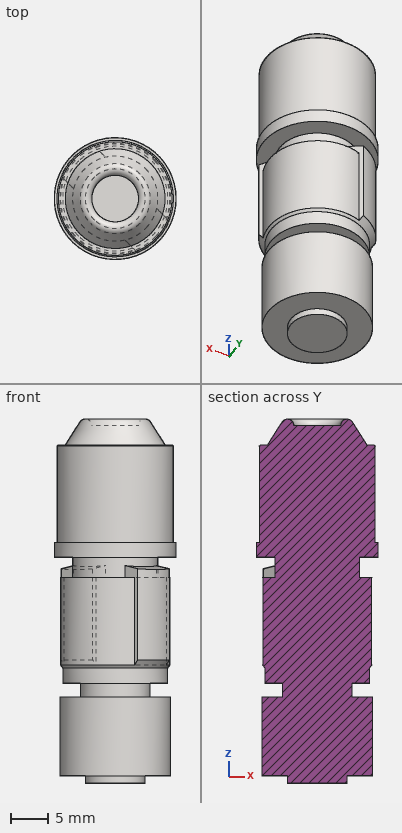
import cadquery as cq
import math

tip_top = 0.95
nut_top = 11.55
lower_neck_top = 13.35
collar_top = 15.4
sleeve_top = 27.5
upper_neck_top = 30.2
flange_top = 32.2
barrel_top = 45.25
total_height = 48.7

tip_radius = 4.0
nut_radius = 7.4
lower_neck_radius = 4.65
collar_radius = 7.0
sleeve_radius = 7.3
key_radius = 7.85
upper_neck_radius = 5.7
flange_radius = 16.3 / 2
barrel_radius = 7.8

bevel_slope = 1.35
key_ridge_height = 29.95
key_top_tilt = 10.0
key_width = 6.0
key_angle = -45.0

rim_bevel = 0.2
nose_angle = 32.4
lip_tube_radius = 0.9
dish_radius = 3.1


def bevel_height(radius):
    """Height of the common lower bevel cone at a given radius."""
    return collar_top + bevel_slope * (radius - collar_radius)


def make_core():
    """Turned body, revolved from its half profile in the XZ plane."""
    slant = math.radians(nose_angle)
    lip_radius = dish_radius + lip_tube_radius
    dish_floor = total_height - lip_tube_radius
    shoulder_radius = lip_radius + lip_tube_radius * math.cos(slant)
    shoulder_height = dish_floor + lip_tube_radius * math.sin(slant)
    nose_base_radius = shoulder_radius + (shoulder_height - barrel_top) * math.tan(slant)
    return (
        cq.Workplane("XZ")
        .lineTo(tip_radius, 0)
        .lineTo(tip_radius, tip_top)
        .lineTo(nut_radius, tip_top)
        .lineTo(nut_radius, nut_top)
        .lineTo(lower_neck_radius, nut_top)
        .lineTo(lower_neck_radius, lower_neck_top)
        .lineTo(collar_radius, lower_neck_top)
        .lineTo(collar_radius, collar_top)
        .lineTo(sleeve_radius, bevel_height(sleeve_radius))
        .lineTo(sleeve_radius, sleeve_top)
        .lineTo(upper_neck_radius, sleeve_top)
        .lineTo(upper_neck_radius, upper_neck_top)
        .lineTo(flange_radius, upper_neck_top)
        .lineTo(flange_radius, flange_top)
        .lineTo(barrel_radius, flange_top)
        .lineTo(barrel_radius, barrel_top - rim_bevel)
        .lineTo(barrel_radius - rim_bevel, barrel_top)
        .lineTo(nose_base_radius, barrel_top)
        .lineTo(shoulder_radius, shoulder_height)
        .threePointArc((lip_radius, total_height), (dish_radius, dish_floor))
        .lineTo(0, dish_floor)
        .close()
        .revolve(360, (0, 0), (0, 1))
    )


def make_keys():
    """Two opposite raised keys with parallel sides and flat tops sloping outward."""
    bevelled_cylinder = (
        cq.Workplane("XZ")
        .moveTo(0, collar_top)
        .lineTo(collar_radius, collar_top)
        .lineTo(key_radius, bevel_height(key_radius))
        .lineTo(key_radius, key_ridge_height)
        .lineTo(0, key_ridge_height)
        .close()
        .revolve(360, (0, 0), (0, 1))
    )
    eave_height = key_ridge_height - flange_radius * math.tan(math.radians(key_top_tilt))
    roofed_slab = (
        cq.Workplane("XZ")
        .moveTo(-flange_radius, 0)
        .lineTo(flange_radius, 0)
        .lineTo(flange_radius, eave_height)
        .lineTo(0, key_ridge_height)
        .lineTo(-flange_radius, eave_height)
        .close()
        .extrude(key_width / 2, both=True)
        .rotate((0, 0, 0), (0, 0, 1), key_angle)
    )
    return bevelled_cylinder.intersect(roofed_slab)


result = make_core().union(make_keys())